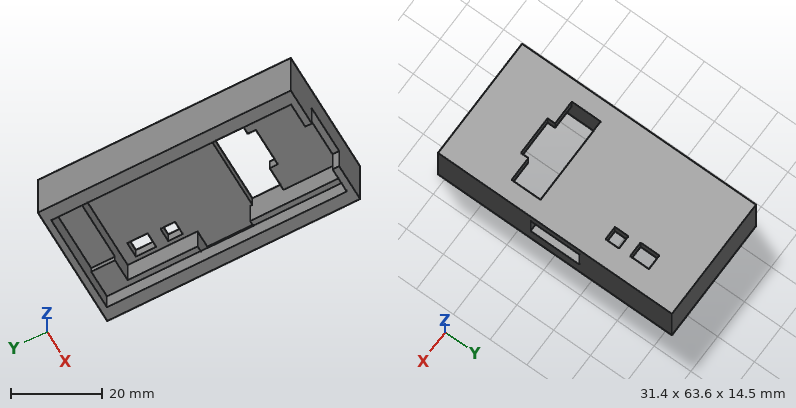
import cadquery as cq

WIDTH = 31.4
LENGTH = 63.6
HEIGHT = 14.5
TOP_THICKNESS = 3.0

SEAM_HEIGHT = 4.85
SIDE_WALL = 3.1
END_WALL = 1.65
LOWER_WIDTH = WIDTH - 2 * SIDE_WALL
UPPER_WIDTH = 22.45
UPPER_BACK = 24.15
CEILING = HEIGHT - TOP_THICKNESS
FRONT = -LENGTH / 2
CAVITY_FRONT = FRONT + END_WALL
CAVITY_BACK = LENGTH / 2 - END_WALL

RECESS_RIGHT = 5.5
RECESS_TOP = 6.4

SLOT_WIDTH = 12.35
SLOT_TOP = 6.7

WINDOW_HALF_LENGTH = 6.6

DISPLAY_FRONT = -15.0
DISPLAY_BACK = -7.2
RELIEF_WIDTH = 9.9
RELIEF_FRONT = -17.05

HOLE_RIGHT = 10.25
LARGE_HOLE_LEFT = 6.35
LARGE_HOLE_FRONT = 16.5
LARGE_HOLE_BACK = 21.55
SMALL_HOLE_LEFT = 6.75
SMALL_HOLE_FRONT = 9.8
SMALL_HOLE_BACK = 13.4


def block(left, right, front, back, bottom, top):
    """Box between the given limits along X, Y and Z."""
    size = (right - left, back - front, top - bottom)
    return cq.Workplane("XY").box(*size, centered=False).translate((left, front, bottom))


def centered_block(width, front, back, bottom, top):
    """Box centred on X = 0."""
    return block(-width / 2, width / 2, front, back, bottom, top)


def cavity():
    """Stepped hollow, open at the bottom."""
    lower = centered_block(LOWER_WIDTH, CAVITY_FRONT, CAVITY_BACK, 0, SEAM_HEIGHT)
    upper = centered_block(UPPER_WIDTH, CAVITY_FRONT, UPPER_BACK, SEAM_HEIGHT, CEILING)
    recess = block(-UPPER_WIDTH / 2, RECESS_RIGHT, UPPER_BACK, CAVITY_BACK, SEAM_HEIGHT, RECESS_TOP)
    return lower.union(upper).union(recess)


def front_slot():
    return centered_block(SLOT_WIDTH, FRONT, CAVITY_FRONT, 0, SLOT_TOP)


def side_window():
    return block(
        UPPER_WIDTH / 2, WIDTH / 2, -WINDOW_HALF_LENGTH, WINDOW_HALF_LENGTH, SEAM_HEIGHT, CEILING
    )


def display_opening():
    opening = centered_block(UPPER_WIDTH, DISPLAY_FRONT, DISPLAY_BACK, CEILING, HEIGHT)
    relief = centered_block(RELIEF_WIDTH, RELIEF_FRONT, DISPLAY_FRONT, CEILING, HEIGHT)
    return opening.union(relief)


def top_hole(left, front, back):
    return block(left, HOLE_RIGHT, front, back, CEILING, HEIGHT)


result = (
    centered_block(WIDTH, FRONT, LENGTH / 2, 0, HEIGHT)
    .cut(cavity())
    .cut(front_slot())
    .cut(side_window())
    .cut(display_opening())
    .cut(top_hole(LARGE_HOLE_LEFT, LARGE_HOLE_FRONT, LARGE_HOLE_BACK))
    .cut(top_hole(SMALL_HOLE_LEFT, SMALL_HOLE_FRONT, SMALL_HOLE_BACK))
)